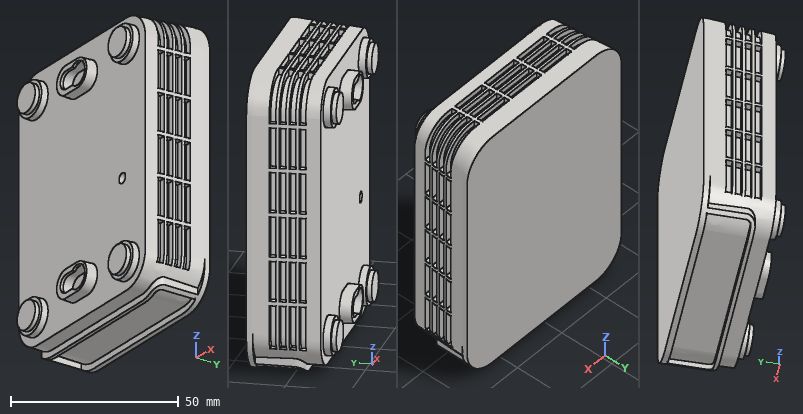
import cadquery as cq

WIDTH = 69.5
HEIGHT = 94.0
PLATE_THICKNESS = 2.0
CORNER_RADIUS = 11.5

HOUSING_FRONT = 22.5
TAPER_INSET = 1.6
BOTTOM_SETBACK = 2.2

SLOT_DEPTH = 2.1
SLOT_WIDTH = 2.0
SLOT_PITCH = 3.0
SLOT_ROWS = 4
FIRST_SLOT_START = 7.0
SLOT_LOWER_END = -37.9
RIB_WIDTH = 1.4
SIDE_RIB_CENTER = 4.6
SIDE_RIB_PITCH = 14.0
SIDE_RIB_COUNT = 5
TOP_RIB_INNER = 7.2
TOP_RIB_OUTER = 20.7

LIP_HALF_WIDTH = 31.2
LIP_FRONT = 17.0
LIP_THICKNESS = 1.3
LIP_RADIUS = 3.1

DRAFT = 3.0
TOTAL_DEPTH = 26.2
FOOT_BASE_HEIGHT = 2.3
FOOT_BASE_RADIUS = 6.1
FOOT_PAD_RADIUS = 4.8
FOOT_X = 23.9
FOOT_Z = 35.9
BOSS_LENGTH = 16.1
BOSS_WIDTH = 10.1
BOSS_Z = 33.65
KEYHOLE_DEPTH = 5.0
KEYHOLE_LEDGE = 1.0
KEYHOLE_OFFSET = 2.9
KEYHOLE_SLOT_RADIUS = 3.0
KEYHOLE_HEAD_RADIUS = 3.95

HOLE_RADIUS = 1.7
HOLE_DEPTH = 3.8
HOLE_X = 21.1
HOLE_Z = -6.9

TOP = HEIGHT / 2
HOUSING_BOTTOM = -TOP + BOTTOM_SETBACK
FACE_CENTER_Z = (TOP - TAPER_INSET + HOUSING_BOTTOM) / 2


def plane_at(depth):
    """XZ plane at a given distance in front of the rear face, normal towards -Y."""
    return cq.Workplane("XZ", origin=(0, -depth, 0))


def box_between(x_range, depth_range, z_range):
    """Axis-aligned box; depths are measured forward from the rear face."""
    size_x = x_range[1] - x_range[0]
    size_y = depth_range[1] - depth_range[0]
    size_z = z_range[1] - z_range[0]
    corner = (x_range[0], -depth_range[1], z_range[0])
    return cq.Workplane("XY").box(size_x, size_y, size_z, centered=False).translate(corner)


def plate_outline(start, length):
    """Prism with the outline of the back plate."""
    prism = plane_at(start).rect(WIDTH, HEIGHT).extrude(length)
    return prism.edges("|Y").fillet(CORNER_RADIUS)


def housing_section(depth, inset, bottom):
    """Rounded rectangle, inset on the sides and top, with a given bottom edge."""
    section = cq.Sketch().rect(WIDTH - 2 * inset, TOP - inset - bottom)
    section = section.vertices().fillet(CORNER_RADIUS - inset)
    center_z = (TOP - inset + bottom) / 2
    return section.moved(cq.Location(cq.Vector(0, center_z, depth)))


def tapered_housing(inset, bottom):
    """Housing body, shrunk by an inset on the sides and top."""
    rear = housing_section(PLATE_THICKNESS, inset, bottom)
    front = housing_section(HOUSING_FRONT, inset + TAPER_INSET, bottom)
    return cq.Workplane("XZ").placeSketch(rear, front).loft()


def vent_slots():
    """Rows of slots, cut down to an inset core and interrupted by ribs."""
    half_width = WIDTH / 2
    rows = cq.Workplane("XY")
    for row in range(SLOT_ROWS):
        start = FIRST_SLOT_START + row * SLOT_PITCH
        depth_range = (start, start + SLOT_WIDTH)
        rows = rows.add(box_between((-half_width, half_width), depth_range, (SLOT_LOWER_END, TOP)))
    slots = rows.combine().cut(tapered_housing(SLOT_DEPTH, HOUSING_BOTTOM + SLOT_DEPTH))

    half_rib = RIB_WIDTH / 2
    full_depth = (0, HOUSING_FRONT)
    for index in range(SIDE_RIB_COUNT):
        z = SIDE_RIB_CENTER + (index - SIDE_RIB_COUNT // 2) * SIDE_RIB_PITCH
        slots = slots.cut(box_between((-half_width, half_width), full_depth, (z - half_rib, z + half_rib)))
    for x in (-TOP_RIB_OUTER, -TOP_RIB_INNER, TOP_RIB_INNER, TOP_RIB_OUTER):
        slots = slots.cut(box_between((x - half_rib, x + half_rib), full_depth, (0, TOP)))
    return slots


def lip_block(inset):
    """Block under the housing with rounded front corners, shrunk by an inset."""
    half_width = LIP_HALF_WIDTH - inset
    z_range = (-TOP, -TOP + CORNER_RADIUS)
    block = box_between((-half_width, half_width), (0, LIP_FRONT - inset), z_range)
    return block.edges("|Z and <Y").fillet(LIP_RADIUS - inset)


def lip():
    """U-shaped wall that ends flush with the outline of the plate."""
    wall = lip_block(0).cut(lip_block(LIP_THICKNESS))
    return wall.intersect(plate_outline(0, LIP_FRONT))


def foot(x, z):
    """Drafted round base carrying a smaller round pad."""
    base = plane_at(HOUSING_FRONT).center(x, z).circle(FOOT_BASE_RADIUS)
    base = base.extrude(FOOT_BASE_HEIGHT, taper=DRAFT)
    pad = plane_at(HOUSING_FRONT).center(x, z).circle(FOOT_PAD_RADIUS)
    return base.union(pad.extrude(TOTAL_DEPTH - HOUSING_FRONT))


def boss(z):
    """Drafted stadium-shaped boss round a keyhole."""
    outline = plane_at(HOUSING_FRONT).center(0, z).slot2D(BOSS_LENGTH, BOSS_WIDTH)
    return outline.extrude(TOTAL_DEPTH - HOUSING_FRONT, taper=DRAFT)


def keyhole(z):
    """Blind keyhole: a narrow slot and wide head, undercut to head width behind a thin ledge."""
    face = plane_at(TOTAL_DEPTH).center(0, z)
    slot_length = 2 * (KEYHOLE_OFFSET + KEYHOLE_SLOT_RADIUS)
    slot = face.slot2D(slot_length, 2 * KEYHOLE_SLOT_RADIUS).extrude(-KEYHOLE_DEPTH)
    head = face.center(KEYHOLE_OFFSET, 0).circle(KEYHOLE_HEAD_RADIUS).extrude(-KEYHOLE_DEPTH)

    undercut_plane = plane_at(TOTAL_DEPTH - KEYHOLE_LEDGE).center(0, z)
    undercut_length = 2 * (KEYHOLE_OFFSET + KEYHOLE_HEAD_RADIUS)
    undercut = undercut_plane.slot2D(undercut_length, 2 * KEYHOLE_HEAD_RADIUS)
    return slot.union(head).union(undercut.extrude(KEYHOLE_LEDGE - KEYHOLE_DEPTH))


result = plate_outline(0, PLATE_THICKNESS)
result = result.union(tapered_housing(0, HOUSING_BOTTOM))
result = result.cut(vent_slots())
result = result.union(lip())

for side_z in (-1, 1):
    for side_x in (-1, 1):
        result = result.union(foot(side_x * FOOT_X, FACE_CENTER_Z + side_z * FOOT_Z))
    boss_z = FACE_CENTER_Z + side_z * BOSS_Z
    result = result.union(boss(boss_z)).cut(keyhole(boss_z))

hole = plane_at(HOUSING_FRONT).center(HOLE_X, HOLE_Z).circle(HOLE_RADIUS).extrude(-HOLE_DEPTH)
result = result.cut(hole)